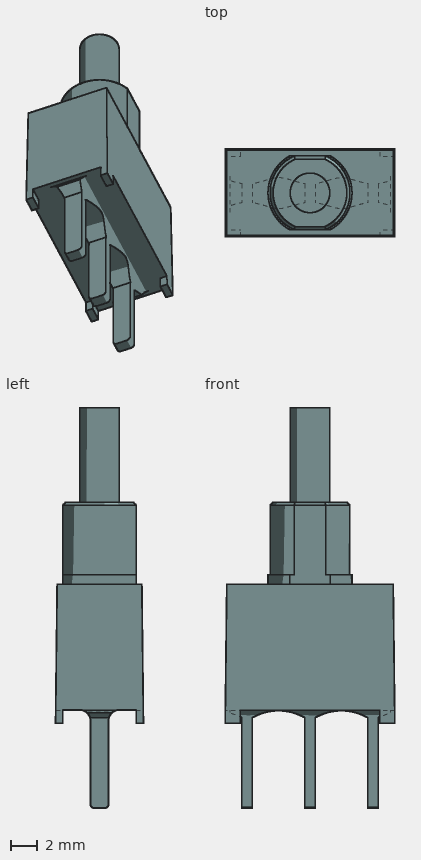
import cadquery as cq

BODY_LENGTH = 12.7
BODY_WIDTH = 6.6
BODY_TAPER = 0.12
FOOT_Z = 6.35
FLOOR_Z = 7.35
BODY_TOP_Z = 16.75
FOOT_GAP_X = 10.43
FOOT_GAP_Y = 5.48

COLLAR_DIAMETER = 6.3
COLLAR_TOP_Z = 17.47
BUSHING_DIAMETER = 6.0
BUSHING_TOP_Z = 22.9
BUSHING_CHAMFER = 0.25
ACROSS_FLATS = 5.5

PLUNGER_DIAMETER = 2.97
PLUNGER_TOP_Z = 29.95

PIN_PITCH = 4.7
PIN_THICKNESS = 0.8
PIN_WIDTH = 1.38
PIN_TIP_RADIUS = 0.33
PIN_POSITIONS = [-PIN_PITCH, 0, PIN_PITCH]

RESIN_DEPTH_WIDE = 0.72
RESIN_DEPTH_NARROW = 0.57
RESIN_LENGTH = 11.98
RESIN_BASE_HALF_WIDTH = 1.47
RESIN_FILM = 0.05
RESIN_OVERLAP = 0.3
RESIN_SAG = 0.15


def box_between(length, width, bottom, top):
    """Box centred on the Z axis, between two heights."""
    height = top - bottom
    return cq.Workplane("XY", origin=(0, 0, bottom)).box(length, width, height, centered=(True, True, False))


def cylinder_between(diameter, bottom, top):
    """Cylinder on the Z axis, between two heights."""
    return cq.Workplane("XY", origin=(0, 0, bottom)).circle(diameter / 2).extrude(top - bottom)


def make_body():
    body = (
        cq.Workplane("XY", origin=(0, 0, FOOT_Z))
        .rect(BODY_LENGTH, BODY_WIDTH)
        .workplane(offset=BODY_TOP_Z - FOOT_Z)
        .rect(BODY_LENGTH - 2 * BODY_TAPER, BODY_WIDTH - 2 * BODY_TAPER)
        .loft(combine=True)
    )
    gap_along_y = box_between(FOOT_GAP_X, BODY_WIDTH, FOOT_Z, FLOOR_Z)
    gap_along_x = box_between(BODY_LENGTH, FOOT_GAP_Y, FOOT_Z, FLOOR_Z)
    return body.cut(gap_along_y).cut(gap_along_x)


def make_bushing():
    collar = cylinder_between(COLLAR_DIAMETER, BODY_TOP_Z, COLLAR_TOP_Z)
    barrel = cylinder_between(BUSHING_DIAMETER, BODY_TOP_Z, BUSHING_TOP_Z)
    flats = box_between(COLLAR_DIAMETER, ACROSS_FLATS, BODY_TOP_Z, BUSHING_TOP_Z)
    barrel = barrel.faces(">Z").chamfer(BUSHING_CHAMFER)
    flats = flats.faces(">Z").edges("|X").chamfer(BUSHING_CHAMFER)
    return collar.union(barrel).intersect(flats)


def make_pin(x):
    pin = box_between(PIN_THICKNESS, PIN_WIDTH, 0, FLOOR_Z)
    return pin.faces("<Z").edges("|X").fillet(PIN_TIP_RADIUS).translate((x, 0, 0))


def make_resin():
    """Resin bounded by hollow flanks across Y and by arches between and beyond the pins along X."""
    bottom = FLOOR_Z - RESIN_DEPTH_WIDE
    half_pin = PIN_WIDTH / 2
    mid_y = (RESIN_BASE_HALF_WIDTH + half_pin) / 2 - RESIN_SAG
    mid_z = FLOOR_Z - RESIN_DEPTH_WIDE / 2 + RESIN_SAG
    resin = (
        cq.Workplane("YZ")
        .moveTo(-RESIN_BASE_HALF_WIDTH, FLOOR_Z + RESIN_OVERLAP)
        .lineTo(-RESIN_BASE_HALF_WIDTH, FLOOR_Z)
        .threePointArc((-mid_y, mid_z), (-half_pin, bottom))
        .lineTo(half_pin, bottom)
        .threePointArc((mid_y, mid_z), (RESIN_BASE_HALF_WIDTH, FLOOR_Z))
        .lineTo(RESIN_BASE_HALF_WIDTH, FLOOR_Z + RESIN_OVERLAP)
        .close()
        .extrude(RESIN_LENGTH / 2, both=True)
    )

    half_span = (PIN_PITCH - PIN_THICKNESS) / 2
    arch_bottom = FLOOR_Z - RESIN_DEPTH_NARROW
    for pitches in (-1.5, -0.5, 0.5, 1.5):
        x = pitches * PIN_PITCH
        arch = (
            cq.Workplane("XZ")
            .moveTo(x - half_span, bottom)
            .lineTo(x - half_span, arch_bottom)
            .threePointArc((x, FLOOR_Z - RESIN_FILM), (x + half_span, arch_bottom))
            .lineTo(x + half_span, bottom)
            .close()
            .extrude(RESIN_BASE_HALF_WIDTH, both=True)
        )
        resin = resin.cut(arch)
    return resin


result = make_body().union(make_bushing()).union(make_resin())
result = result.union(cylinder_between(PLUNGER_DIAMETER, BUSHING_TOP_Z, PLUNGER_TOP_Z))
for pin_x in PIN_POSITIONS:
    result = result.union(make_pin(pin_x))